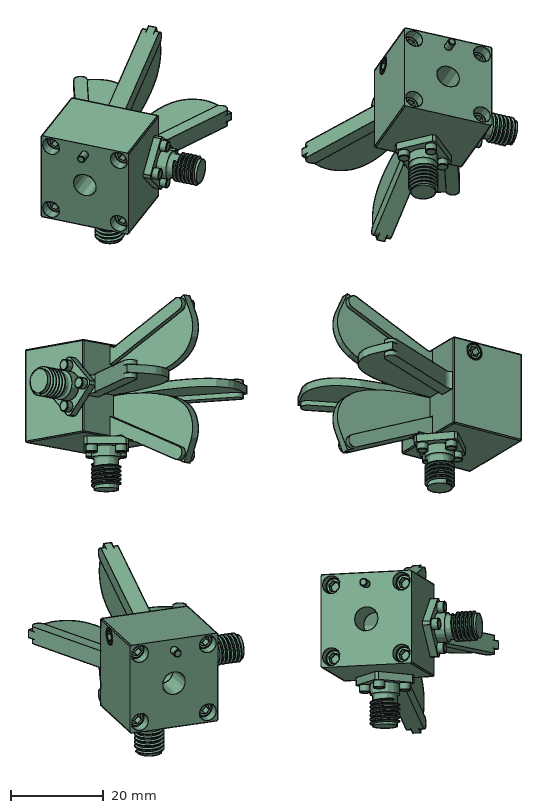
import cadquery as cq
import math


block_width = 20.32
block_depth = 17.5
block_chamfer = 0.25
half_width = block_width / 2

feed_bore_diameter = 5.2
feed_bore_depth = 7.0
feed_bore_tip_angle = 118.0

plate_thickness = 1.8
rib_thickness = 3.94
fin_lean = math.radians(24.0)
tip_radius = 18.34
tip_y = 38.8
crown_point = (10.6, 41.41)
bend_point = (6.6, 39.82)
flank_point = (4.9, 37.85)
throat_point = (2.1, 29.9)
throat_radius = 1.0
rib_end_radius = 1.45
rib_end_setback = 1.79
neck_radius = 1.3
neck_end_angle = math.radians(45.0)
fin_root_y = block_depth - block_chamfer

side_connector_y = 14.74
bottom_connector_y = 14.37
flange_side = 9.58
flange_half_diagonal = 6.35
flange_thickness = 1.7
pad_clearance = 0.28
shoulder_diameter = 6.35
shoulder_length = 2.26
barrel_diameter = 5.34
connector_reach = 21.03
thread_diameter = 6.38
thread_pitch = 0.9
thread_turns = 5.4
thread_start = 15.6
thread_start_turn = 36.0
thread_root_width = 0.7
thread_crest_width = 0.15
thread_overlap = 0.1
flange_screw_offset = 4.48
flange_screw_diameter = 2.43
flange_screw_height = 1.57
flange_screw_chamfer = 0.15

screw_diameter = 3.84
screw_length = 4.0
screw_chamfer = 0.3
socket_across_flats = 2.15
socket_depth = 2.0
screw_offset = 7.87
front_screw_recess = 2.2
front_socket_turn = 15.0
side_screw_y = 12.14

pin_diameter = 1.66
pin_height = 7.65
pin_projection = 2.29
pin_seat_depth = 4.0
pin_chamfer = 0.15


def turn_about_y(body, angle):
    return body.rotate((0, 0, 0), (0, 1, 0), angle)


def outer_edge_radius(y):
    """Distance of a fin's straight outer edge from the Y axis."""
    return tip_radius - (tip_y - y) * math.tan(fin_lean)


def neck_outline(outline):
    """Finish a fin outline down to its root with a concave neck arc."""
    centre_y = block_depth + neck_radius * math.sin(neck_end_angle)
    centre_r = outer_edge_radius(centre_y) + neck_radius / math.cos(fin_lean)

    def on_arc(angle):
        return (centre_r - neck_radius * math.cos(angle), centre_y + neck_radius * math.sin(angle))

    arc_end = on_arc(-neck_end_angle)
    return (
        outline.lineTo(*on_arc(fin_lean))
        .threePointArc(on_arc(0), arc_end)
        .lineTo(arc_end[0], fin_root_y)
    )


def pad_outline(outline, connector_y):
    """Finish a fin outline with a pad flush with the block, behind a connector flange."""
    pad_y = connector_y + flange_half_diagonal + pad_clearance
    return (
        outline.lineTo(outer_edge_radius(pad_y), pad_y)
        .lineTo(half_width, pad_y)
        .lineTo(half_width, fin_root_y)
    )


def rib_zone():
    """Area covered by the thick rib: a band along the outer edge with a rounded end."""
    along = (math.sin(fin_lean), math.cos(fin_lean))
    inward = (-math.cos(fin_lean), math.sin(fin_lean))

    def point(setback, depth):
        return (
            tip_radius - setback * along[0] + depth * inward[0],
            tip_y - setback * along[1] + depth * inward[1],
        )

    outer_end = point(rib_end_setback, 0)
    inner_end = point(rib_end_setback, 2 * rib_end_radius)
    rib_top = point(rib_end_setback - rib_end_radius, rib_end_radius)
    inner_root = outer_edge_radius(fin_root_y) - 2 * rib_end_radius / math.cos(fin_lean)
    return (
        cq.Workplane("XY", origin=(0, 0, -rib_thickness / 2))
        .moveTo(inner_root, fin_root_y)
        .lineTo(*inner_end)
        .threePointArc(rib_top, outer_end)
        .lineTo(tip_radius, outer_end[1])
        .lineTo(tip_radius, fin_root_y)
        .close()
        .extrude(rib_thickness)
    )


def make_fin(connector_y=None):
    """Fin with a connector pad at its root, or a plain neck when no connector sits there."""
    outline = (
        cq.Workplane("XY", origin=(0, 0, -rib_thickness / 2))
        .moveTo(throat_radius, fin_root_y)
        .lineTo(throat_radius, block_depth)
        .spline(
            [throat_point, flank_point, bend_point, crown_point, (tip_radius, tip_y)],
            tangents=[(0, 1), (math.cos(fin_lean), -math.sin(fin_lean))],
            includeCurrent=True,
        )
    )
    if connector_y is None:
        outline = neck_outline(outline)
    else:
        outline = pad_outline(outline, connector_y)
    full_fin = outline.close().extrude(rib_thickness)
    plate_zone = cq.Workplane("XY").box(
        2 * tip_radius, 2 * tip_y, plate_thickness, centered=(True, False, True)
    )
    plate = full_fin.intersect(plate_zone)
    rib = full_fin.intersect(rib_zone())
    return plate.union(rib)


def make_screw(socket_turn):
    """Socket screw with its top at Z = 0, facing +Z."""
    socket = (
        cq.Workplane("XY")
        .polygon(6, socket_across_flats, circumscribed=True)
        .extrude(-socket_depth)
        .rotate((0, 0, 0), (0, 0, 1), socket_turn)
    )
    return (
        cq.Workplane("XY")
        .circle(screw_diameter / 2)
        .extrude(-screw_length)
        .faces(">Z")
        .chamfer(screw_chamfer)
        .cut(socket)
    )


screws = []
for x_side in (-1, 1):
    for z_side in (-1, 1):
        place = (x_side * screw_offset, front_screw_recess, z_side * screw_offset)
        screws.append(make_screw(front_socket_turn).rotate((0, 0, 0), (1, 0, 0), 90).translate(place))
side_screw = turn_about_y(make_screw(0), -90).translate((-half_width, side_screw_y, screw_offset))
screws.append(side_screw)

pin = (
    cq.Workplane("XZ", origin=(0, pin_seat_depth, pin_height))
    .circle(pin_diameter / 2)
    .extrude(pin_seat_depth + pin_projection)
    .faces("<Y")
    .chamfer(pin_chamfer)
)


def make_block():
    block = (
        cq.Workplane("XZ")
        .rect(block_width, block_width)
        .extrude(-block_depth)
        .edges("|Y or >Y")
        .chamfer(block_chamfer)
    )
    fins = [
        make_fin(side_connector_y),
        turn_about_y(make_fin(bottom_connector_y), 90),
        turn_about_y(make_fin(), 180),
        turn_about_y(make_fin(), 270),
    ]
    for fin in fins:
        block = block.union(fin)

    feed_tip = feed_bore_diameter / 2 / math.tan(math.radians(feed_bore_tip_angle / 2))
    feed_bore = (
        cq.Workplane("XY")
        .lineTo(feed_bore_diameter / 2, 0)
        .lineTo(feed_bore_diameter / 2, feed_bore_depth)
        .lineTo(0, feed_bore_depth + feed_tip)
        .close()
        .revolve(360, (0, 0, 0), (0, 1, 0))
    )
    front_screw_holes = (
        cq.Workplane("XZ")
        .rect(2 * screw_offset, 2 * screw_offset, forConstruction=True)
        .vertices()
        .circle(screw_diameter / 2)
        .extrude(-(front_screw_recess + screw_length))
    )
    side_screw_hole = (
        cq.Workplane("YZ", origin=(-half_width, side_screw_y, screw_offset))
        .circle(screw_diameter / 2)
        .extrude(screw_length)
    )
    pin_hole = (
        cq.Workplane("XZ", origin=(0, 0, pin_height))
        .circle(pin_diameter / 2)
        .extrude(-pin_seat_depth)
    )
    for hole in (feed_bore, front_screw_holes, side_screw_hole, pin_hole):
        block = block.cut(hole)
    return block


def make_thread():
    """Right-handed helical ridge around the Z axis, starting at Z = 0 on the +X side."""
    root = barrel_diameter / 2 - thread_overlap
    crest = thread_diameter / 2
    path = cq.Wire.makeHelix(thread_pitch, thread_turns * thread_pitch, root)
    ridge = cq.Workplane("XZ").polyline(
        [
            (root, -thread_root_width / 2),
            (crest, -thread_crest_width / 2),
            (crest, thread_crest_width / 2),
            (root, thread_root_width / 2),
        ]
    ).close()
    return ridge.sweep(cq.Workplane(path), isFrenet=True)


def make_connector(connector_y):
    """Connector with its axis on +X and its flange on the block's side face."""
    face = half_width + flange_thickness
    axis_plane = cq.Workplane("YZ", origin=(half_width, 0, 0))
    diagonal_square = axis_plane.rect(flange_side, flange_side).extrude(flange_thickness)
    flange_span = 2 * flange_half_diagonal
    corner_limit = axis_plane.rect(flange_span, flange_span).extrude(flange_thickness)
    flange = diagonal_square.rotate((0, 0, 0), (1, 0, 0), 45).intersect(corner_limit)
    flange_screws = (
        cq.Workplane("YZ", origin=(face, 0, 0))
        .polarArray(flange_screw_offset, 0, 360, 4)
        .circle(flange_screw_diameter / 2)
        .extrude(flange_screw_height)
        .faces(">X")
        .chamfer(flange_screw_chamfer)
    )
    shoulder_end = face + shoulder_length
    step = (shoulder_diameter - barrel_diameter) / 2
    arc_drop = step * math.sin(math.radians(45))
    body = (
        cq.Workplane("XY")
        .moveTo(face, 0)
        .lineTo(face, shoulder_diameter / 2)
        .lineTo(shoulder_end, shoulder_diameter / 2)
        .threePointArc(
            (shoulder_end + step - arc_drop, shoulder_diameter / 2 - arc_drop),
            (shoulder_end + step, barrel_diameter / 2),
        )
        .lineTo(connector_reach, barrel_diameter / 2)
        .lineTo(connector_reach, 0)
        .close()
        .revolve(360, (0, 0, 0), (1, 0, 0))
    )
    thread = (
        make_thread()
        .rotate((0, 0, 0), (0, 1, 0), 90)
        .rotate((0, 0, 0), (1, 0, 0), 180 + thread_start_turn)
        .translate((thread_start, 0, 0))
    )
    connector = body.union(thread).union(flange).union(flange_screws)
    return connector.translate((0, connector_y, 0))


block = make_block()
side_connector = make_connector(side_connector_y)
bottom_connector = turn_about_y(make_connector(bottom_connector_y), 90)

result = cq.Compound.makeCompound(
    [
        block.val(),
        side_connector.val(),
        bottom_connector.val(),
        pin.val(),
        *[screw.val() for screw in screws],
    ]
)